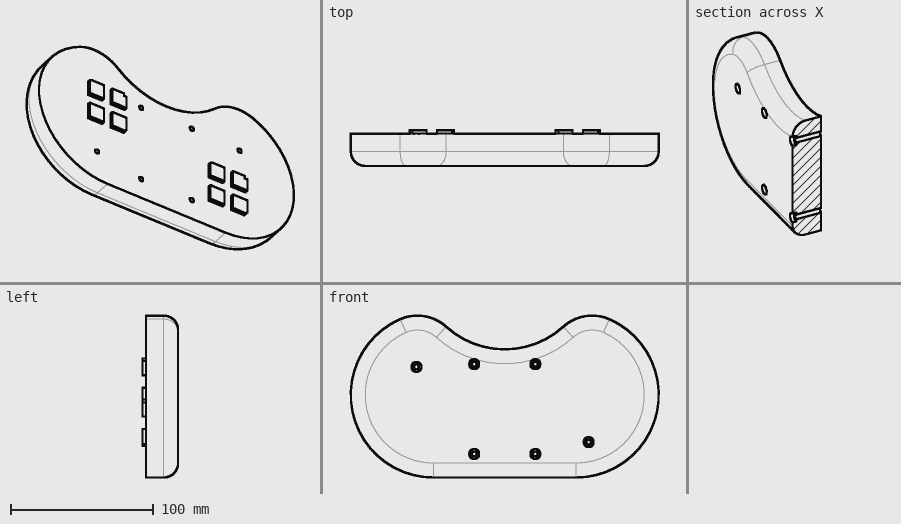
import math

import cadquery as cq

overall_height = 113.65
body_thickness = 22.7
front_fillet = 10.2
lobe_radius = 58.0
lobe_x = 50.0
shoulder_radius = 30.0
waist_radius = 61.0

hole_diameter = 3.4
counterbore_diameter = 7.0
inner_counterbore_depth = 3.0
outer_counterbore_depth = 15.0
inner_hole_x = 21.4
inner_hole_z_levels = (16.6, 79.5)
outer_hole_points = ((-61.9, 77.6), (58.8, 24.9))

pad_height = 2.5
pad_width = 12.0
pad_pitch_x = 19.2
pad_pitch_z = 20.6
pad_set_centers = ((-51.1, 38.5), (51.1, 67.3))
pad_notch = 2.0
pad_bevel_run = 1.4
pad_bevel_drop = 0.9


def point_toward(center, target, distance):
    """Point at the given distance from center, in the direction of target."""
    angle = math.atan2(target[1] - center[1], target[0] - center[0])
    return (center[0] + distance * math.cos(angle), center[1] + distance * math.sin(angle))


def mirrored(point):
    return (-point[0], point[1])


def xz_plane(y):
    """Sketch plane with local axes X and Z, extruding toward +Y for negative distances."""
    return cq.Workplane("XZ", origin=(0, y, 0))


def make_body():
    """Kidney-shaped slab: two round lobes, a shoulder on each, and a hollow waist between them."""
    lobe_center = (lobe_x, lobe_radius)
    shoulder_z = overall_height - shoulder_radius
    shoulder_offset = math.sqrt((lobe_radius - shoulder_radius) ** 2 - (shoulder_z - lobe_radius) ** 2)
    shoulder_center = (lobe_x + shoulder_offset, shoulder_z)
    waist_reach = waist_radius + shoulder_radius
    waist_center = (0, shoulder_z + math.sqrt(waist_reach**2 - shoulder_center[0] ** 2))

    lobe_bottom = (lobe_x, 0)
    lobe_side = (lobe_x + lobe_radius, lobe_radius)
    lobe_end = point_toward(lobe_center, shoulder_center, lobe_radius)
    shoulder_top = (shoulder_center[0], overall_height)
    shoulder_end = point_toward(shoulder_center, waist_center, shoulder_radius)
    waist_bottom = (0, waist_center[1] - waist_radius)

    outline = (
        xz_plane(0)
        .moveTo(*mirrored(lobe_bottom))
        .lineTo(*lobe_bottom)
        .threePointArc(lobe_side, lobe_end)
        .threePointArc(shoulder_top, shoulder_end)
        .threePointArc(waist_bottom, mirrored(shoulder_end))
        .threePointArc(mirrored(shoulder_top), mirrored(lobe_end))
        .threePointArc(mirrored(lobe_side), mirrored(lobe_bottom))
        .close()
    )
    return outline.extrude(-body_thickness).faces("<Y").edges().fillet(front_fillet)


def make_holes(points, counterbore_depth):
    """Cutting solids for counterbored through holes entering from the front face."""
    bores = xz_plane(0).pushPoints(points).circle(hole_diameter / 2).extrude(-body_thickness)
    counterbores = xz_plane(0).pushPoints(points).circle(counterbore_diameter / 2).extrude(-counterbore_depth)
    return bores.union(counterbores)


def make_pad_set(center):
    """Four square pads; the set's upper-left corner is notched and the two next to it are beveled."""
    pads = (
        xz_plane(body_thickness)
        .center(*center)
        .rarray(pad_pitch_x, pad_pitch_z, 2, 2)
        .rect(pad_width, pad_width)
        .extrude(-pad_height)
    )
    right = (pad_pitch_x + pad_width) / 2
    top = (pad_pitch_z + pad_width) / 2
    left, bottom = -right, -top
    notch = [
        (left, top),
        (left + pad_notch, top),
        (left + pad_notch, top - pad_notch),
        (left, top - pad_notch),
    ]
    upper_right_bevel = [(right, top), (right - pad_bevel_run, top), (right, top - pad_bevel_drop)]
    lower_left_bevel = [(left, bottom), (left, bottom + pad_bevel_run), (left + pad_bevel_drop, bottom)]
    for corner_cut in (notch, upper_right_bevel, lower_left_bevel):
        sketch = xz_plane(body_thickness).center(*center).polyline(corner_cut).close()
        pads = pads.cut(sketch.extrude(-pad_height))
    return pads


inner_hole_points = [(x, z) for x in (-inner_hole_x, inner_hole_x) for z in inner_hole_z_levels]

result = make_body()
for pad_set_center in pad_set_centers:
    result = result.union(make_pad_set(pad_set_center))
result = result.cut(make_holes(inner_hole_points, inner_counterbore_depth))
result = result.cut(make_holes(outer_hole_points, outer_counterbore_depth))